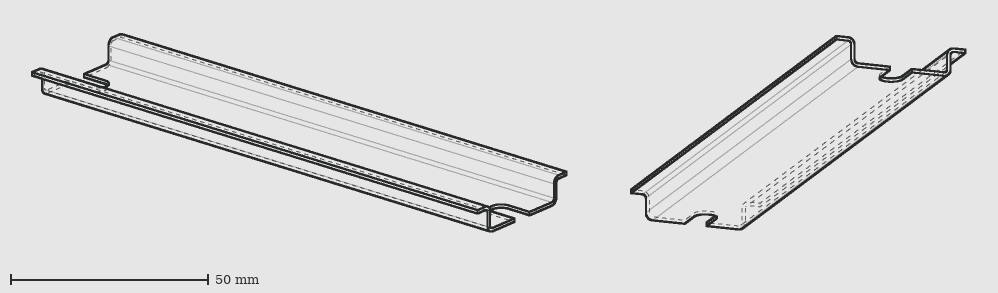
import cadquery as cq

length = 148.0
width = 35.0
height = 7.5

thickness = 0.95
channel_width = 27.0
inner_bend_radius = 0.9
outer_bend_radius = inner_bend_radius + thickness

slot_width = 5.9
slot_depth = 9.9


def make_rail():
    """Bent sheet: a channel with a flange turned outward along each top edge."""
    half_width = width / 2
    half_outer = channel_width / 2
    half_inner = half_outer - thickness
    flange_bottom = height - thickness
    profile = [
        (-half_width, height),
        (-half_inner, height),
        (-half_inner, thickness),
        (half_inner, thickness),
        (half_inner, height),
        (half_width, height),
        (half_width, flange_bottom),
        (half_outer, flange_bottom),
        (half_outer, 0),
        (-half_outer, 0),
        (-half_outer, flange_bottom),
        (-half_width, flange_bottom),
    ]
    rail = cq.Workplane("YZ").polyline(profile).close().extrude(length / 2, both=True)

    def bend_edges(y, z):
        return cq.selectors.BoxSelector(
            (-length, y - thickness / 4, z - thickness / 4),
            (length, y + thickness / 4, z + thickness / 4),
        )

    for side in (-1, 1):
        rail = rail.edges(bend_edges(side * half_outer, 0)).fillet(outer_bend_radius)
        rail = rail.edges(bend_edges(side * half_inner, thickness)).fillet(inner_bend_radius)
        rail = rail.edges(bend_edges(side * half_inner, height)).fillet(outer_bend_radius)
        rail = rail.edges(bend_edges(side * half_outer, flange_bottom)).fillet(inner_bend_radius)
    return rail


def make_end_slots():
    """Round-nosed cutters open at both ends of the rail."""
    return (
        cq.Workplane("XY")
        .pushPoints([(-length / 2, 0), (length / 2, 0)])
        .slot2D(2 * slot_depth, slot_width)
        .extrude(height)
    )


result = make_rail().cut(make_end_slots())